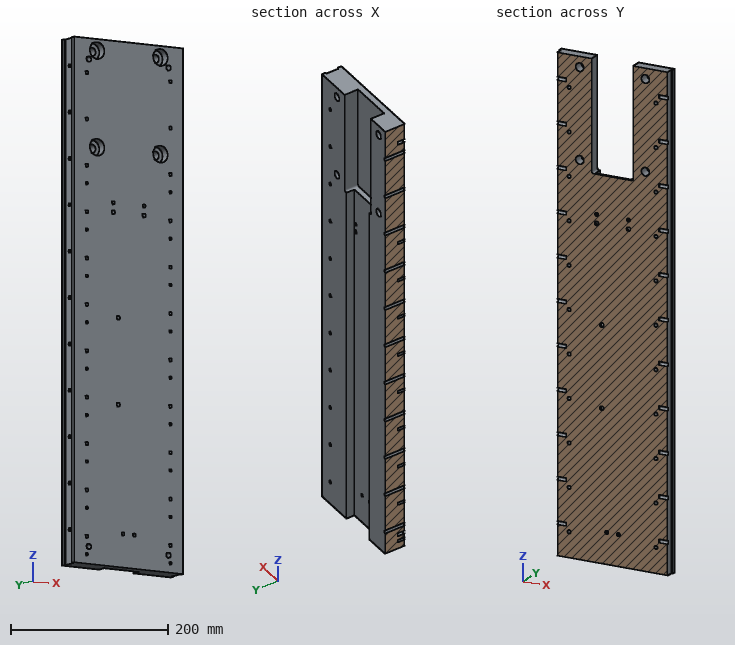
import cadquery as cq

WIDTH = 164.0
THICKNESS = 30.0
HEIGHT = 680.0
FRONT_Y = -THICKNESS / 2
BACK_Y = THICKNESS / 2
TOP_Z = HEIGHT / 2
BOTTOM_Z = -HEIGHT / 2

GROOVE_WIDTH = 18.5
GROOVE_DEPTH = 2.0

MOUNT_SPACING_X = 95.0
MOUNT_SPACING_Z = 125.0
MOUNT_MARGIN = 15.0
MOUNT_DIAMETER = 11.0
COUNTERBORE_DIAMETER = 22.0
COUNTERBORE_DEPTH = 12.0

CHANNEL_WIDTH = 52.0
CHANNEL_DEPTH = 12.0
POCKET_WIDTH = 60.0
POCKET_DEPTH = 20.5
POCKET_CORNER_RADIUS = 3.0
POCKET_LENGTH = MOUNT_SPACING_Z + 2 * MOUNT_MARGIN

ROW_COUNT = 11
PITCH = 600.0 / (ROW_COUNT - 1)
ROW_MARGIN = 45.0
EDGE_ROW_SPACING = 126.0
EDGE_HOLE_DIAMETER = 4.2
SIDE_HOLE_DIAMETER = 4.2
SIDE_HOLE_DEPTH = 12.0

SMALL_HOLE_COUNT = 9
SMALL_HOLE_MARGIN = 12.0
SMALL_HOLE_DIAMETER = 3.3
SMALL_HOLE_DEPTH = 10.0

DOWEL_DIAMETER = 7.0
DOWEL_DEPTH = 10.0
DOWEL_SPACING_X = 120.0
DOWEL_TOP_MARGIN = 27.0
DOWEL_BOTTOM_MARGIN = 22.5

TWIN_SPACING_X = 46.0
TWIN_LOWER_Z = 118.0
TWIN_LOWER_DIAMETER = 5.0
TWIN_UPPER_Z = TWIN_LOWER_Z + 12.0
TWIN_UPPER_DIAMETER = 4.2
OFFSET_HOLE_DIAMETER = 5.0
OFFSET_HOLE_X = -15.5
OFFSET_HOLE_UPPER_Z = -18.0
OFFSET_HOLE_SPACING_Z = 112.0
BOTTOM_PAIR_SPACING_X = 17.0
BOTTOM_PAIR_MARGIN = 43.5
BOTTOM_PAIR_DIAMETER = 4.2


def row_heights(first_z, count, step):
    """Heights of a row of evenly pitched holes."""
    return [first_z + i * step for i in range(count)]


def mirrored(spacing, heights):
    """Points (x, z) on both sides of the centre line at each height."""
    return [(side * spacing / 2, z) for z in heights for side in (-1, 1)]


def front_holes(points, diameter, depth=THICKNESS):
    """Cylinders running from the front face into the plate."""
    front = cq.Workplane("XZ", origin=(0, FRONT_Y, 0))
    return front.pushPoints(points).circle(diameter / 2).extrude(-depth)


def back_slot(width, depth, length):
    """Box that opens at the back face and runs down from the top end."""
    slot = cq.Workplane("XY").box(width, depth, length)
    return slot.translate((0, BACK_Y - depth / 2, TOP_Z - length / 2))


def side_groove(side):
    """Box that cuts the groove in one side face."""
    groove = cq.Workplane("XY").box(2 * GROOVE_DEPTH, GROOVE_WIDTH, HEIGHT)
    return groove.translate((side * WIDTH / 2, 0, 0))


def side_holes(side):
    """Row of blind holes going inward from the groove floor of one side face."""
    points = [(0, z) for z in row_heights(BOTTOM_Z + ROW_MARGIN, ROW_COUNT, PITCH)]
    floor_x = side * (WIDTH / 2 - GROOVE_DEPTH)
    floor = cq.Workplane("YZ", origin=(floor_x, 0, 0)).pushPoints(points)
    return floor.circle(SIDE_HOLE_DIAMETER / 2).extrude(-side * SIDE_HOLE_DEPTH)


plate = cq.Workplane("XY").box(WIDTH, THICKNESS, HEIGHT)
plate = plate.cut(back_slot(CHANNEL_WIDTH, CHANNEL_DEPTH, HEIGHT))
pocket = back_slot(POCKET_WIDTH, POCKET_DEPTH, POCKET_LENGTH)
plate = plate.cut(pocket.faces("<Z").edges("|Y").fillet(POCKET_CORNER_RADIUS))

for side in (-1, 1):
    plate = plate.cut(side_groove(side))
    plate = plate.cut(side_holes(side))

mount_top_z = TOP_Z - MOUNT_MARGIN
mounts = mirrored(MOUNT_SPACING_X, [mount_top_z, mount_top_z - MOUNT_SPACING_Z])
plate = plate.cut(front_holes(mounts, MOUNT_DIAMETER))
plate = plate.cut(front_holes(mounts, COUNTERBORE_DIAMETER, COUNTERBORE_DEPTH))

edge_heights = row_heights(TOP_Z - ROW_MARGIN, ROW_COUNT, -PITCH)
edge_points = mirrored(EDGE_ROW_SPACING, edge_heights)
plate = plate.cut(front_holes(edge_points, EDGE_HOLE_DIAMETER))

small_heights = row_heights(BOTTOM_Z + SMALL_HOLE_MARGIN, SMALL_HOLE_COUNT, PITCH)
small_points = mirrored(EDGE_ROW_SPACING, small_heights)
plate = plate.cut(front_holes(small_points, SMALL_HOLE_DIAMETER, SMALL_HOLE_DEPTH))

dowel_heights = [TOP_Z - DOWEL_TOP_MARGIN, BOTTOM_Z + DOWEL_BOTTOM_MARGIN]
dowels = mirrored(DOWEL_SPACING_X, dowel_heights)
plate = plate.cut(front_holes(dowels, DOWEL_DIAMETER, DOWEL_DEPTH))

twin_lower = mirrored(TWIN_SPACING_X, [TWIN_LOWER_Z])
plate = plate.cut(front_holes(twin_lower, TWIN_LOWER_DIAMETER))
twin_upper = mirrored(TWIN_SPACING_X, [TWIN_UPPER_Z])
plate = plate.cut(front_holes(twin_upper, TWIN_UPPER_DIAMETER))

offset_heights = row_heights(OFFSET_HOLE_UPPER_Z, 2, -OFFSET_HOLE_SPACING_Z)
offset_points = [(OFFSET_HOLE_X, z) for z in offset_heights]
plate = plate.cut(front_holes(offset_points, OFFSET_HOLE_DIAMETER))

bottom_pair = mirrored(BOTTOM_PAIR_SPACING_X, [BOTTOM_Z + BOTTOM_PAIR_MARGIN])
plate = plate.cut(front_holes(bottom_pair, BOTTOM_PAIR_DIAMETER))

result = plate